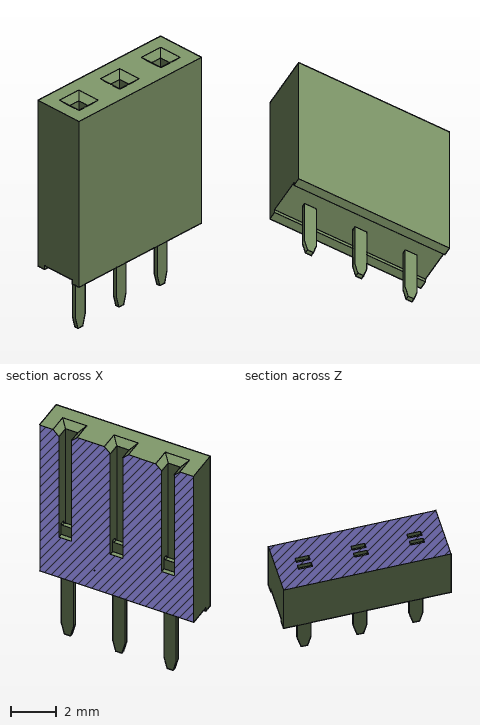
import cadquery as cq

TOTAL_HEIGHT = 11.6
PITCH = 2.54
PIN_COUNT = 3

BODY_HEIGHT = 8.5
BODY_LENGTH = PIN_COUNT * PITCH
BODY_BOTTOM = TOTAL_HEIGHT - BODY_HEIGHT
CHANNEL_WIDTH = 1.7
CHANNEL_HEIGHT = 0.2
CHANNEL_TOP = BODY_BOTTOM + CHANNEL_HEIGHT

MOUTH_SIZE = 1.2
WELL_SIZE = 0.6
LEAD_IN_DEPTH = (MOUTH_SIZE - WELL_SIZE) / 2
WELL_DEPTH = 6.0
WELL_FLOOR = TOTAL_HEIGHT - WELL_DEPTH

PIN_WIDTH = WELL_SIZE
PIN_THICKNESS = 0.2
TIP_WIDTH = 0.3
TIP_LENGTH = 0.58

CONTACT_HEIGHT = 0.6
CONTACT_TOP = WELL_FLOOR + CONTACT_HEIGHT
NOTCH_FLOOR_LENGTH = 0.48
NOTCH_DEPTH = (WELL_SIZE - NOTCH_FLOOR_LENGTH) / 2


def make_body():
    """Housing block with a channel along the underside that leaves two feet."""
    body = cq.Workplane("XY", origin=(0, 0, BODY_BOTTOM)).box(
        PITCH, BODY_LENGTH, BODY_HEIGHT, centered=(True, True, False)
    )
    channel = cq.Workplane("XY", origin=(0, 0, BODY_BOTTOM)).box(
        CHANNEL_WIDTH, BODY_LENGTH, CHANNEL_HEIGHT, centered=(True, True, False)
    )
    return body.cut(channel)


def make_pin():
    """Flat blade from its tapered tip up to the notched contact end in the well."""
    half_outline = [
        (TIP_WIDTH / 2, 0),
        (PIN_WIDTH / 2, TIP_LENGTH),
        (PIN_WIDTH / 2, CONTACT_TOP),
        (NOTCH_FLOOR_LENGTH / 2, CONTACT_TOP - NOTCH_DEPTH),
    ]
    mirrored = [(-y, z) for y, z in reversed(half_outline)]
    return (
        cq.Workplane("YZ")
        .polyline(half_outline + mirrored)
        .close()
        .extrude(PIN_THICKNESS / 2, both=True)
    )


def make_socket():
    """Volume removed for one socket: lead-in and well."""
    lead_in = (
        cq.Workplane("XY", origin=(0, 0, TOTAL_HEIGHT))
        .rect(MOUTH_SIZE, MOUTH_SIZE)
        .workplane(offset=-LEAD_IN_DEPTH)
        .rect(WELL_SIZE, WELL_SIZE)
        .loft(ruled=True)
    )
    well = cq.Workplane("XY", origin=(0, 0, WELL_FLOOR)).box(
        WELL_SIZE, WELL_SIZE, WELL_DEPTH, centered=(True, True, False)
    )
    return well.union(lead_in)


result = make_body()
for index in range(PIN_COUNT):
    offset = (0, (index - (PIN_COUNT - 1) / 2) * PITCH, 0)
    result = result.cut(make_socket().translate(offset))
    result = result.union(make_pin().translate(offset))